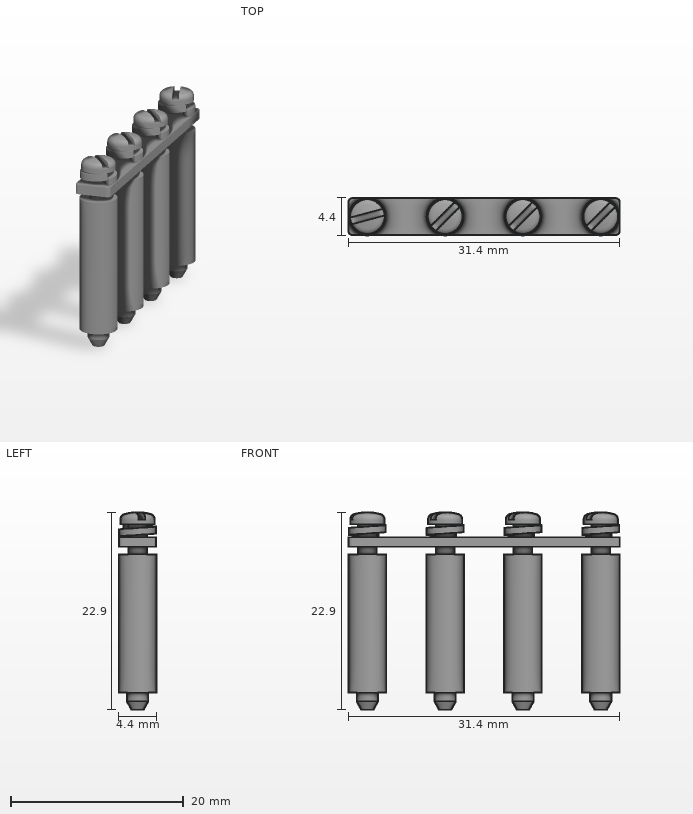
import cadquery as cq
import math

screw_count = 4
screw_pitch = 9.0
slot_angles = [15.0, 45.0, 45.0, 45.0]

sleeve_diameter = 4.4
sleeve_length = 16.0

pin_diameter = 2.5
pin_tip_diameter = 1.4
pin_length = 2.0
pin_taper_length = 1.0

plate_length = (screw_count - 1) * screw_pitch + sleeve_diameter
plate_width = 4.3
plate_thickness = 1.15
plate_corner_radius = 0.5
plate_gap = 0.85

shank_diameter = 2.2
head_diameter = 4.0
head_rim_height = 0.52
head_dome_height = 0.895
head_edge_radius = 0.7
slot_width = 0.8

washer_diameter = 4.32
washer_thickness = 0.8
washer_space = 1.48
washer_clearance = 0.01
washer_split_angle = 51.0
washer_split_gap = 4.0
washer_overlap = 0.1

sleeve_bottom = pin_length
sleeve_top = sleeve_bottom + sleeve_length
plate_bottom = sleeve_top + plate_gap
plate_top = plate_bottom + plate_thickness
head_bottom = plate_top + washer_space
dome_bottom = head_bottom + head_rim_height
head_top = dome_bottom + head_dome_height


def cylinder(diameter, bottom, top):
    return cq.Workplane("XY").workplane(offset=bottom).circle(diameter / 2).extrude(top - bottom)


def make_plate():
    return (
        cq.Workplane("XY")
        .workplane(offset=plate_bottom)
        .rect(plate_length, plate_width)
        .extrude(plate_thickness)
        .edges("|Z")
        .fillet(plate_corner_radius)
    )


def make_pin():
    pin_radius = pin_diameter / 2
    outline = [
        (0, 0),
        (pin_tip_diameter / 2, 0),
        (pin_radius, pin_taper_length),
        (pin_radius, sleeve_bottom),
        (0, sleeve_bottom),
    ]
    return cq.Workplane("XZ").polyline(outline).close().revolve(360, (0, 0), (0, 1))


def make_washer():
    """One turn of rectangular section, rising counter-clockwise from the plate to the head."""
    turn_fraction = (360 - washer_split_gap) / 360
    rise = washer_space - washer_thickness - 2 * washer_clearance
    inner_radius = shank_diameter / 2 - washer_overlap
    outer_radius = washer_diameter / 2
    helix = cq.Wire.makeHelix(rise / turn_fraction, rise, outer_radius)
    washer = (
        cq.Workplane("XZ")
        .moveTo(inner_radius, 0)
        .lineTo(outer_radius, 0)
        .lineTo(outer_radius, washer_thickness)
        .lineTo(inner_radius, washer_thickness)
        .close()
        .sweep(cq.Workplane(helix), isFrenet=True)
    )
    start_angle = washer_split_angle + washer_split_gap / 2
    washer_bottom = plate_top + washer_clearance
    return washer.rotate((0, 0, 0), (0, 0, 1), start_angle).translate((0, 0, washer_bottom))


def make_head(slot_angle):
    """Slotted head: short rim, rounded edge and a shallow spherical crown tangent to it."""
    radius = head_diameter / 2
    edge_center_x = radius - head_edge_radius
    crown_radius = (edge_center_x**2 + head_dome_height**2 - head_edge_radius**2) / (
        2 * (head_dome_height - head_edge_radius)
    )
    crown_center_z = head_top - crown_radius
    crown_half_angle = math.asin(edge_center_x / (crown_radius - head_edge_radius))
    edge_mid_angle = (math.pi / 2 + crown_half_angle) / 2

    def edge_point(angle):
        return (
            edge_center_x + head_edge_radius * math.sin(angle),
            dome_bottom + head_edge_radius * math.cos(angle),
        )

    crown_mid = (
        crown_radius * math.sin(crown_half_angle / 2),
        crown_center_z + crown_radius * math.cos(crown_half_angle / 2),
    )
    head = (
        cq.Workplane("XZ")
        .moveTo(0, head_bottom)
        .lineTo(radius, head_bottom)
        .lineTo(radius, dome_bottom)
        .threePointArc(edge_point(edge_mid_angle), edge_point(crown_half_angle))
        .threePointArc(crown_mid, (0, head_top))
        .close()
        .revolve(360, (0, 0), (0, 1))
    )
    slot = (
        cq.Workplane("XY")
        .workplane(offset=dome_bottom)
        .rect(2 * head_diameter, slot_width)
        .extrude(2 * head_dome_height)
        .rotate((0, 0, 0), (0, 0, 1), slot_angle)
    )
    return head.cut(slot)


def make_screw(slot_angle):
    return (
        make_pin()
        .union(cylinder(sleeve_diameter, sleeve_bottom, sleeve_top))
        .union(cylinder(shank_diameter, sleeve_top, head_bottom))
        .union(make_head(slot_angle))
        .union(make_washer())
    )


result = make_plate()
for index, slot_angle in enumerate(slot_angles):
    screw_x = (index - (screw_count - 1) / 2) * screw_pitch
    result = result.union(make_screw(slot_angle).translate((screw_x, 0, 0)))